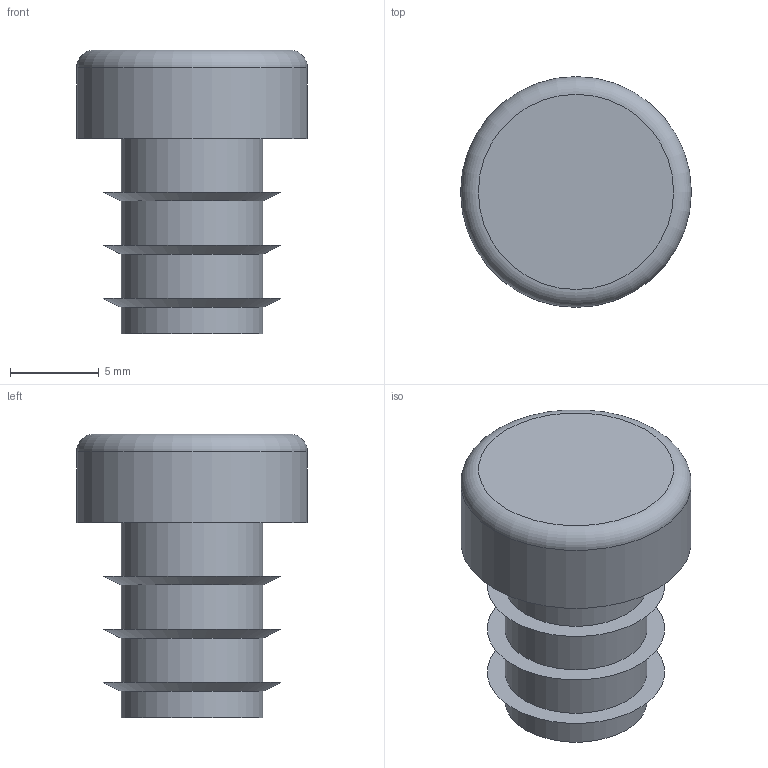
import cadquery as cq

total_height = 16.0

head_diameter = 13.0
head_height = 5.0
head_edge_radius = 1.0

stem_diameter = 8.0
stem_height = total_height - head_height

barb_diameter = 10.0
barb_height = 0.5
barb_count = 3
barb_pitch = 3.0
first_barb_top = 2.0


def make_head():
    """Cylindrical head with a rounded top edge."""
    head = cq.Workplane("XY").workplane(offset=stem_height).circle(head_diameter / 2).extrude(head_height)
    return head.faces(">Z").edges().fillet(head_edge_radius)


def make_stem():
    """Plain cylindrical stem below the head."""
    return cq.Workplane("XY").circle(stem_diameter / 2).extrude(stem_height)


def make_barb(top):
    """Conical barb that widens from the stem up to a flat upper face at height top."""
    bottom = top - barb_height
    profile = (
        cq.Workplane("XZ")
        .moveTo(0, bottom)
        .lineTo(stem_diameter / 2, bottom)
        .lineTo(barb_diameter / 2, top)
        .lineTo(0, top)
        .close()
    )
    return profile.revolve(360, (0, 0, 0), (0, 1, 0))


result = make_head().union(make_stem())
for barb_index in range(barb_count):
    result = result.union(make_barb(first_barb_top + barb_index * barb_pitch))